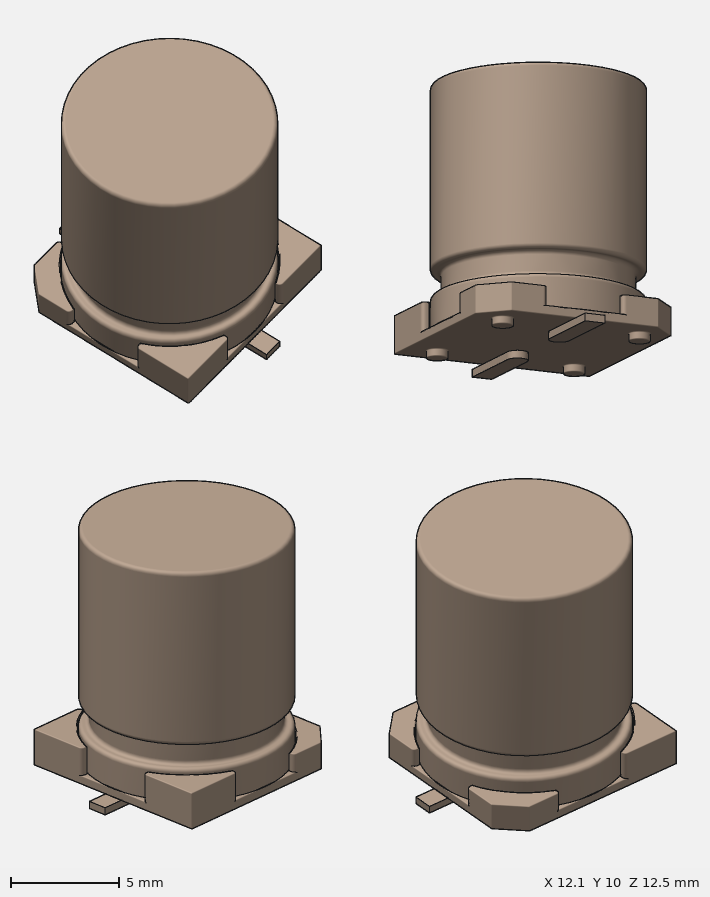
import cadquery as cq

OVERALL_LENGTH = 12.1
OVERALL_HEIGHT = 12.5

STANDOFF = 0.37
LEAD_WIDTH = 1.0
LEAD_INNER_END = 1.75
FOOT_DIAMETER = 1.0
FOOT_OFFSET = 3.5

BASE_SIDE = 10.0
CORNER_CUT = 1.25
PLATE_TOP = 0.82
LOW_POST_TOP = 1.75
HIGH_POST_TOP = 2.22
POST_INNER = 1.93
POST_ROUND = 0.2
POCKET_DIAMETER = 10.1
EDGE_ROUND = 0.05

CAN_DIAMETER = 10.0
NECK_DIAMETER = 9.0
CAN_ROUND = 0.2
GROOVE_CENTER = 3.05
NECK_LENGTH = 0.8


def base_outline(height):
    """Square block with the two -X corners cut off and its bottom and upright edges eased."""
    block = cq.Workplane("XY").workplane(offset=STANDOFF).rect(BASE_SIDE, BASE_SIDE).extrude(height)
    block = block.edges("|Z and <X").chamfer(CORNER_CUT)
    return block.edges("|Z").fillet(EDGE_ROUND).faces("<Z").edges().fillet(EDGE_ROUND)


def corner_post(x_side, y_side, top):
    """One corner of the base outline, hollowed to clear the can."""
    height = top - STANDOFF
    size = BASE_SIDE / 2 - POST_INNER
    center = POST_INNER + size / 2
    corner = (
        cq.Workplane("XY")
        .workplane(offset=STANDOFF)
        .center(x_side * center, y_side * center)
        .rect(size, size)
        .extrude(height)
    )
    x_end_edge = cq.selectors.NearestToPointSelector(
        (x_side * POST_INNER, y_side * BASE_SIDE / 2, STANDOFF + height / 2)
    )
    y_end_edge = cq.selectors.NearestToPointSelector(
        (x_side * BASE_SIDE / 2, y_side * POST_INNER, STANDOFF + height / 2)
    )
    corner = corner.edges(x_end_edge).fillet(POST_ROUND)
    corner = corner.edges(y_end_edge).fillet(POST_ROUND)
    pocket = cq.Workplane("XY").workplane(offset=STANDOFF).circle(POCKET_DIAMETER / 2).extrude(height)
    post = corner.intersect(base_outline(height)).cut(pocket)
    return post.faces(">Z").edges().fillet(EDGE_ROUND)


def make_base():
    base = base_outline(PLATE_TOP - STANDOFF).faces(">Z").edges().fillet(EDGE_ROUND)
    for y_side in (-1, 1):
        base = base.union(corner_post(-1, y_side, LOW_POST_TOP))
        base = base.union(corner_post(1, y_side, HIGH_POST_TOP))
    return base


def make_can():
    """Solid of revolution about Z; each groove shoulder is a convex then a concave quarter round."""
    can_radius = CAN_DIAMETER / 2
    neck_radius = NECK_DIAMETER / 2
    neck_bottom = GROOVE_CENTER - NECK_LENGTH / 2
    neck_top = GROOVE_CENTER + NECK_LENGTH / 2
    can = (
        cq.Workplane("XZ")
        .moveTo(0, PLATE_TOP)
        .lineTo(can_radius, PLATE_TOP)
        .lineTo(can_radius, neck_bottom - 2 * CAN_ROUND)
        .tangentArcPoint((can_radius - CAN_ROUND, neck_bottom - CAN_ROUND), relative=False)
        .lineTo(neck_radius + CAN_ROUND, neck_bottom - CAN_ROUND)
        .tangentArcPoint((neck_radius, neck_bottom), relative=False)
        .lineTo(neck_radius, neck_top)
        .tangentArcPoint((neck_radius + CAN_ROUND, neck_top + CAN_ROUND), relative=False)
        .lineTo(can_radius - CAN_ROUND, neck_top + CAN_ROUND)
        .tangentArcPoint((can_radius, neck_top + 2 * CAN_ROUND), relative=False)
        .lineTo(can_radius, OVERALL_HEIGHT - CAN_ROUND)
        .tangentArcPoint((can_radius - CAN_ROUND, OVERALL_HEIGHT), relative=False)
        .lineTo(0, OVERALL_HEIGHT)
        .close()
    )
    return can.revolve(360, (0, 0, 0), (0, 1, 0))


def make_lead(x_side):
    """Flat terminal along X with a half-round inner end."""
    round_radius = LEAD_WIDTH / 2
    inner = x_side * LEAD_INNER_END
    straight_start = x_side * (LEAD_INNER_END + round_radius)
    outer = x_side * OVERALL_LENGTH / 2
    return (
        cq.Workplane("XY")
        .moveTo(outer, round_radius)
        .lineTo(straight_start, round_radius)
        .threePointArc((inner, 0), (straight_start, -round_radius))
        .lineTo(outer, -round_radius)
        .close()
        .extrude(STANDOFF)
    )


def add_feet(body):
    """Add four round feet, eased at the bottom rim and blended into the base above."""
    foot_spacing = 2 * FOOT_OFFSET
    foot_radius = FOOT_DIAMETER / 2
    foot = (
        cq.Workplane("XZ")
        .lineTo(foot_radius - EDGE_ROUND, 0)
        .tangentArcPoint((foot_radius, EDGE_ROUND), relative=False)
        .lineTo(foot_radius, STANDOFF - EDGE_ROUND)
        .tangentArcPoint((foot_radius + EDGE_ROUND, STANDOFF), relative=False)
        .lineTo(0, STANDOFF)
        .close()
        .revolve(360, (0, 0, 0), (0, 1, 0))
    ).translate((-FOOT_OFFSET, -FOOT_OFFSET, 0))
    for x_shift in (0, foot_spacing):
        for y_shift in (0, foot_spacing):
            body = body.union(foot.translate((x_shift, y_shift, 0)))
    return body


result = add_feet(make_base().union(make_can()))
for lead_side in (-1, 1):
    result = result.union(make_lead(lead_side))